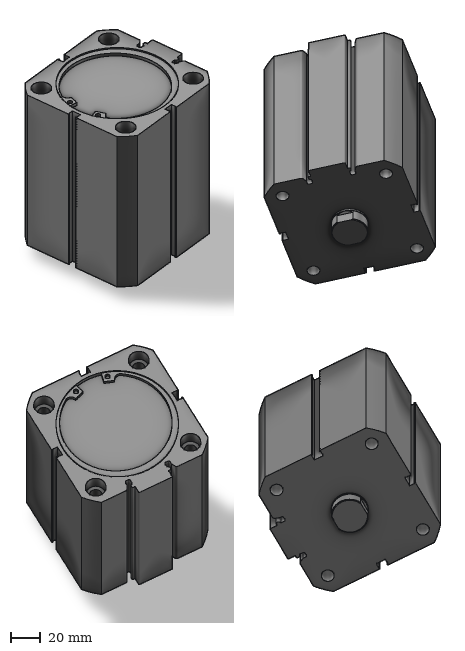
import cadquery as cq
import math

housing_height = 123.5
rod_projection = 10.0

side = 96.5
corner_radius = 61.7
rail_rise = 5.5
rail_half_width = 12.8
rail_edge_radius = 0.5
half_side = side / 2
rail_top = half_side + rail_rise

groove_depth = 6.7
groove_inner_x = 13.2
groove_outer_x = 17.0
groove_bottom_radius = 1.1
lip_x = 14.8
lip_thickness = 2.1
lip_shoulder = 1.2
lip_edge_radius = 0.8
mouth_x = 18.7
mouth_radius = 2.0
flare_depth = 3.7

slot_width = 6.8
slot_mouth = 5.5
slot_depth = 4.5
slot_lip = 0.8
slot_mouth_bevel = 0.4

bolt_spacing = 72.2
bolt_hole_diameter = 8.5
counterbore_diameter = 13.8
counterbore_depth = 10.7

bore_radius = 41.0
ring_recess = 1.1
ring_thickness = 2.4
cap_thickness = 10.7
ring_inner_radius = 37.6
ring_offset = 2.0
lug_inner_radius = 34.2
lug_start_angle = 13.5
lug_end_angle = 25.7
lug_root_radius = 4.0
lug_hole_diameter = 3.5
lug_hole_x = 12.0
lug_hole_y = -35.6
ring_top = housing_height - ring_recess
cap_top = ring_top - ring_thickness
cap_bottom = cap_top - cap_thickness

rod_diameter = 25.0
tip_diameter = 24.7
collar_height = 1.6
wrench_flats = 22.0
tip_chamfer = 0.5

pick_reach = 0.1


def polar(radius, angle):
    """Point at a radius and an angle in degrees, measured from -Y toward +X."""
    turn = math.radians(angle)
    return (radius * math.sin(turn), -radius * math.cos(turn))


def vertical_edge_at(x, y):
    """Selector for the vertical edge through (x, y)."""
    return cq.selectors.BoxSelector(
        (x - pick_reach, y - pick_reach, 0), (x + pick_reach, y + pick_reach, housing_height)
    )


def make_sensor_groove():
    """Hook-shaped groove on the +X side of the rail."""
    floor_y = half_side - groove_depth
    lip_bottom = half_side - lip_thickness
    groove = (
        cq.Workplane("XY")
        .moveTo(groove_inner_x, floor_y)
        .lineTo(groove_outer_x, floor_y)
        .lineTo(groove_outer_x, half_side - flare_depth)
        .lineTo(mouth_x, half_side)
        .lineTo(mouth_x, rail_top)
        .lineTo(lip_x, rail_top)
        .lineTo(lip_x, lip_bottom)
        .lineTo(groove_inner_x, lip_bottom - lip_shoulder)
        .close()
        .extrude(housing_height)
    )
    for x in (groove_inner_x, groove_outer_x):
        groove = groove.edges("|Z").edges(vertical_edge_at(x, floor_y)).fillet(groove_bottom_radius)
    return groove


def make_t_slot():
    """T-slot cutter for the -Y face, with a bevelled mouth."""
    channel = cq.Workplane("XY").box(
        slot_width, slot_depth - slot_lip, housing_height, centered=(True, False, False)
    )
    channel = channel.translate((0, slot_lip - half_side, 0))
    mouth_half = slot_mouth / 2
    mouth = (
        cq.Workplane("XY")
        .polyline([
            (-mouth_half - slot_mouth_bevel, -half_side),
            (mouth_half + slot_mouth_bevel, -half_side),
            (mouth_half, slot_mouth_bevel - half_side),
            (mouth_half, slot_depth - half_side),
            (-mouth_half, slot_depth - half_side),
            (-mouth_half, slot_mouth_bevel - half_side),
        ])
        .close()
        .extrude(housing_height)
    )
    return channel.union(mouth)


def make_housing():
    corner_trim = cq.Workplane("XY").circle(corner_radius).extrude(housing_height)
    body = cq.Workplane("XY").rect(side, side).extrude(housing_height).intersect(corner_trim)
    rail = cq.Workplane("XY").box(
        2 * rail_half_width, rail_top, housing_height, centered=(True, False, False)
    )
    body = body.union(rail)

    groove = make_sensor_groove()
    body = body.cut(groove).cut(groove.mirror("YZ"))
    rounded_edges = [
        (rail_half_width, rail_top, rail_edge_radius),
        (lip_x, half_side, lip_edge_radius),
        (lip_x, half_side - lip_thickness, lip_edge_radius),
        (mouth_x, half_side, mouth_radius),
    ]
    for x, y, radius in rounded_edges:
        for mirrored_x in (x, -x):
            body = body.edges("|Z").edges(vertical_edge_at(mirrored_x, y)).fillet(radius)

    for angle in (-90, 0, 90):
        body = body.cut(make_t_slot().rotate((0, 0, 0), (0, 0, 1), angle))

    body = (
        body.faces(">Z").workplane(origin=(0, 0, 0))
        .rect(bolt_spacing, bolt_spacing, forConstruction=True).vertices()
        .cboreHole(bolt_hole_diameter, counterbore_diameter, counterbore_depth)
    )
    cap_recess = cq.Workplane("XY").workplane(offset=cap_bottom).circle(bore_radius)
    rod_bore = cq.Workplane("XY").circle(rod_diameter / 2)
    return body.cut(cap_recess.extrude(housing_height - cap_bottom)).cut(rod_bore.extrude(cap_bottom))


def make_end_cap():
    return cq.Workplane("XY").workplane(offset=cap_bottom).circle(bore_radius).extrude(cap_thickness)


def make_lug():
    """Plier lug at the +X end of the ring."""
    return (
        cq.Workplane("XY")
        .moveTo(*polar(bore_radius, lug_start_angle))
        .lineTo(*polar(lug_inner_radius, lug_start_angle))
        .lineTo(*polar(lug_inner_radius, lug_end_angle))
        .lineTo(*polar(bore_radius, lug_end_angle))
        .threePointArc(
            polar(bore_radius, (lug_start_angle + lug_end_angle) / 2),
            polar(bore_radius, lug_start_angle),
        )
        .close()
        .extrude(ring_thickness)
    )


def make_retaining_ring():
    opening = (
        cq.Workplane("XY")
        .polyline([(0, 0), polar(side, -lug_start_angle), polar(side, lug_start_angle)])
        .close()
        .extrude(ring_thickness)
    )
    inner = cq.Workplane("XY").center(0, -ring_offset).circle(ring_inner_radius).extrude(ring_thickness)
    ring = cq.Workplane("XY").circle(bore_radius).extrude(ring_thickness).cut(inner).cut(opening)
    lug = make_lug()
    ring = ring.union(lug).union(lug.mirror("YZ"))

    turn = math.radians(lug_end_angle)
    shift = ring_offset * math.cos(turn)
    root_reach = shift + math.sqrt(ring_inner_radius**2 - (ring_offset * math.sin(turn)) ** 2)
    root_x, root_y = polar(root_reach, lug_end_angle)
    for x in (root_x, -root_x):
        ring = ring.edges("|Z").edges(vertical_edge_at(x, root_y)).fillet(lug_root_radius)

    holes = (
        cq.Workplane("XY")
        .pushPoints([(lug_hole_x, lug_hole_y), (-lug_hole_x, lug_hole_y)])
        .circle(lug_hole_diameter / 2)
        .extrude(ring_thickness)
    )
    return ring.cut(holes).translate((0, 0, cap_top))


def make_rod():
    shaft = cq.Workplane("XY").workplane(offset=-collar_height).circle(rod_diameter / 2)
    shaft = shaft.extrude(cap_bottom + collar_height)
    tip = cq.Workplane("XY").workplane(offset=-rod_projection).circle(tip_diameter / 2)
    tip = tip.extrude(rod_projection - collar_height).faces("<Z").chamfer(tip_chamfer)

    flat_y = wrench_flats / 2
    ramp_y = rod_diameter / 2
    flat_cut = (
        cq.Workplane("YZ")
        .polyline([
            (flat_y, -rod_projection),
            (flat_y, -collar_height - (ramp_y - flat_y)),
            (ramp_y, -collar_height),
            (ramp_y, -rod_projection),
        ])
        .close()
        .extrude(rod_diameter / 2, both=True)
    )
    return shaft.union(tip.cut(flat_cut).cut(flat_cut.mirror("XZ")))


housing = make_housing()
end_cap = make_end_cap()
retaining_ring = make_retaining_ring()
rod = make_rod()

result = cq.Compound.makeCompound([housing.val(), end_cap.val(), retaining_ring.val(), rod.val()])